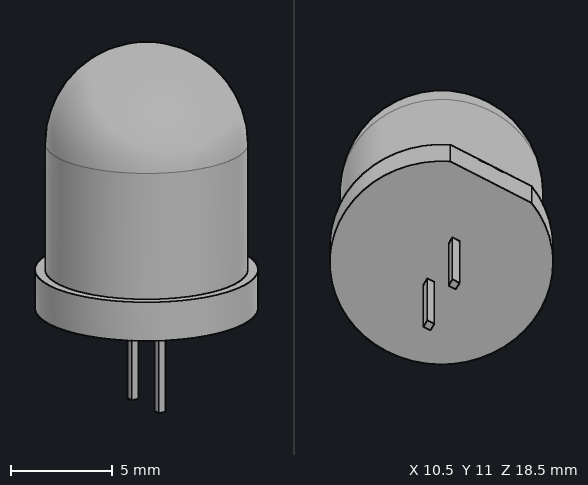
import cadquery as cq

lens_diameter = 10.0
lens_radius = lens_diameter / 2
flange_diameter = 11.0
flange_height = 2.0
barrel_height = 6.5
lead_pitch = 2.54
lead_width = 0.4
lead_length = 5.0


def make_flange():
    """Round flange with a flat on the -X side, tangent to the lens barrel."""
    disc = cq.Workplane("XY").circle(flange_diameter / 2).extrude(flange_height)
    flat_trim = (
        cq.Workplane("XY")
        .rect(flange_diameter, flange_diameter)
        .extrude(flange_height)
        .translate((-lens_radius - flange_diameter / 2, 0, 0))
    )
    return disc.cut(flat_trim)


def make_lens():
    """Cylindrical barrel closed by a hemispherical dome, revolved about Z."""
    dome_base = flange_height + barrel_height
    dome_top = dome_base + lens_radius
    return (
        cq.Workplane("XZ")
        .lineTo(lens_radius, 0)
        .lineTo(lens_radius, dome_base)
        .radiusArc((0, dome_top), -lens_radius)
        .close()
        .revolve(360, (0, 0, 0), (0, 1, 0))
    )


def make_leads():
    """Two square leads below the flange, spaced along X."""
    return (
        cq.Workplane("XY")
        .pushPoints([(-lead_pitch / 2, 0), (lead_pitch / 2, 0)])
        .rect(lead_width, lead_width)
        .extrude(-lead_length)
    )


result = make_flange().union(make_lens()).union(make_leads())